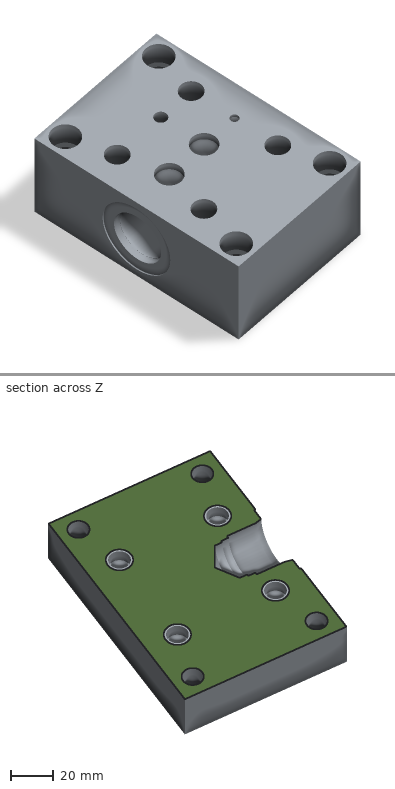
import cadquery as cq
import math

LENGTH = 127.0
WIDTH = 88.9
HEIGHT = 50.8
TOP_Z = HEIGHT / 2
FRONT_Y = -WIDTH / 2

DRILL_POINT_ANGLE = 118.0

MOUNT_SPACING_X = 106.2
MOUNT_SPACING_Y = 68.0
MOUNT_DIAMETER = 10.31
MOUNT_BORE_DIAMETER = 15.88
MOUNT_BORE_DEPTH = 12.7

BOLT_SPACING = 53.85
BOLT_THREAD_DIAMETER = 12.7
BOLT_THREAD_DEPTH = 25.4
BOLT_DRILL_DIAMETER = 10.72
BOLT_DRILL_DEPTH = 31.8

PORT_DIAMETER = 14.53
PORT_DEPTH = 4.3
PRESSURE_PORT_Y = 4.8
TANK_PORT_Y = -20.55

PIN_DIAMETER = 7.14
PIN_DEPTH = 12.7
PILOT_DIAMETER = 4.78
PILOT_DEPTH = 1.6

SPOTFACE_DIAMETER = 42.04
SPOTFACE_DEPTH = 0.76
SEAL_MOUTH_DIAMETER = 29.2
SEAL_END_DIAMETER = 27.7
SEAL_HALF_ANGLE = 12.5
THREAD_DIAMETER = 27.43
THREAD_DEPTH = 20.0
TAP_DRILL_DIAMETER = 24.92
TAP_DRILL_DEPTH = 24.0
BORE_DIAMETER = 23.01
BORE_DEPTH = 28.0


def drill_point_height(diameter):
    """Height of the cone that a drill leaves at the bottom of a blind hole."""
    return diameter / 2 / math.tan(math.radians(DRILL_POINT_ANGLE / 2))


def revolved_cutter(wall_points, drill_diameter):
    """Round cutter around Z, opening at z = 0 and ending below in a drill point.

    wall_points are (radius, z) pairs from the opening down to the drilled depth.
    """
    drilled_z = wall_points[-1][1]
    tip = (0, drilled_z - drill_point_height(drill_diameter))
    profile = cq.Workplane("XZ").polyline([(0, 0), *wall_points, tip]).close()
    return profile.revolve(360, (0, 0, 0), (0, 1, 0))


def drilled_hole(diameter, depth):
    """Cutter for a plain blind hole."""
    radius = diameter / 2
    return revolved_cutter([(radius, 0), (radius, -depth)], diameter)


def bolt_hole():
    """Cutter for a tapped hole with its tap drill running deeper than the thread."""
    thread_radius = BOLT_THREAD_DIAMETER / 2
    drill_radius = BOLT_DRILL_DIAMETER / 2
    wall = [
        (thread_radius, 0),
        (thread_radius, -BOLT_THREAD_DEPTH),
        (drill_radius, -BOLT_THREAD_DEPTH),
        (drill_radius, -BOLT_DRILL_DEPTH),
    ]
    return revolved_cutter(wall, BOLT_DRILL_DIAMETER)


def tank_connection():
    """Cutter for the spotface, tapered seal seat, thread, tap drill and bore, entering along +Y."""
    spotface_radius = SPOTFACE_DIAMETER / 2
    seal_mouth_radius = SEAL_MOUTH_DIAMETER / 2
    seal_end_radius = SEAL_END_DIAMETER / 2
    thread_radius = THREAD_DIAMETER / 2
    tap_drill_radius = TAP_DRILL_DIAMETER / 2
    bore_radius = BORE_DIAMETER / 2
    seal_length = (seal_mouth_radius - seal_end_radius) / math.tan(math.radians(SEAL_HALF_ANGLE))
    seal_end_depth = SPOTFACE_DEPTH + seal_length
    wall = [
        (spotface_radius, 0),
        (spotface_radius, -SPOTFACE_DEPTH),
        (seal_mouth_radius, -SPOTFACE_DEPTH),
        (seal_end_radius, -seal_end_depth),
        (thread_radius, -seal_end_depth),
        (thread_radius, -THREAD_DEPTH),
        (tap_drill_radius, -THREAD_DEPTH),
        (tap_drill_radius, -TAP_DRILL_DEPTH),
        (bore_radius, -TAP_DRILL_DEPTH),
        (bore_radius, -BORE_DEPTH),
    ]
    cutter = revolved_cutter(wall, BORE_DIAMETER)
    return cutter.rotate((0, 0, 0), (1, 0, 0), 90).translate((0, FRONT_Y, 0))


def add_mounting_holes(block):
    return (
        block.faces(">Z")
        .workplane()
        .rect(MOUNT_SPACING_X, MOUNT_SPACING_Y, forConstruction=True)
        .vertices()
        .cboreHole(MOUNT_DIAMETER, MOUNT_BORE_DIAMETER, MOUNT_BORE_DEPTH)
    )


def cut_from_top(block, cutter, positions):
    for x, y in positions:
        block = block.cut(cutter.translate((x, y, TOP_Z)))
    return block


bolt_offset = BOLT_SPACING / 2
bolt_positions = [(x, y) for x in (-bolt_offset, bolt_offset) for y in (-bolt_offset, bolt_offset)]
port_positions = [(0, PRESSURE_PORT_Y), (0, TANK_PORT_Y)]

result = cq.Workplane("XY").box(LENGTH, WIDTH, HEIGHT)
result = add_mounting_holes(result)
result = cut_from_top(result, bolt_hole(), bolt_positions)
result = cut_from_top(result, drilled_hole(PORT_DIAMETER, PORT_DEPTH), port_positions)
result = cut_from_top(result, drilled_hole(PIN_DIAMETER, PIN_DEPTH), [(-bolt_offset, PRESSURE_PORT_Y)])
result = cut_from_top(result, drilled_hole(PILOT_DIAMETER, PILOT_DEPTH), [(0, bolt_offset)])
result = result.cut(tank_connection())